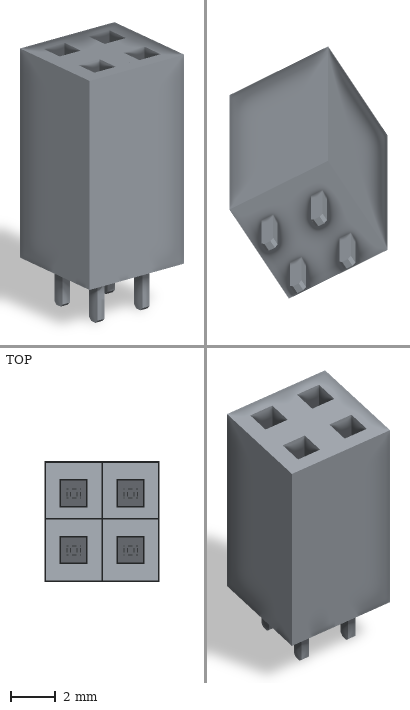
import cadquery as cq

pitch = 2.54
side_wall_offset = 1.397
columns = 2
body_height = 10.0
total_height = 12.2

strip_width = 2 * side_wall_offset - pitch
front_cell_depth = 2 * side_wall_offset
back_cell_depth = front_cell_depth - strip_width

socket_side = 1.2
socket_depth = body_height / 2

tail_width = 0.6
tail_thickness = 0.4
tail_length = total_height - body_height
tip_chamfer = 0.15


def make_tail(x, y):
    """Flat tail below the block, with its two narrow end edges chamfered."""
    tail = (
        cq.Workplane("XY")
        .box(tail_width, tail_thickness, tail_length, centered=(True, True, False))
        .faces("<Z").edges("|Y").chamfer(tip_chamfer)
    )
    return tail.translate((x, y, -tail_length))


def make_cell(x, contact_y, y_min, depth):
    """One socket cell: block, square blind opening and solder tail."""
    block = (
        cq.Workplane("XY")
        .box(pitch, depth, body_height, centered=(True, False, False))
        .translate((x, y_min, 0))
    )
    socket = (
        cq.Workplane("XY")
        .box(socket_side, socket_side, socket_depth, centered=(True, True, False))
        .translate((x, contact_y, body_height - socket_depth))
    )
    return block.cut(socket).union(make_tail(x, contact_y))


front_y = -pitch / 2
back_y = pitch / 2
front_face_y = front_y - side_wall_offset
split_y = front_face_y + front_cell_depth

cells = []
for column in range(columns):
    column_x = (column - (columns - 1) / 2) * pitch
    front_cell = make_cell(column_x, front_y, front_face_y, front_cell_depth)
    back_cell = make_cell(column_x, back_y, split_y, back_cell_depth)
    cells.append(front_cell.val())
    cells.append(back_cell.val())

result = cq.Compound.makeCompound(cells)